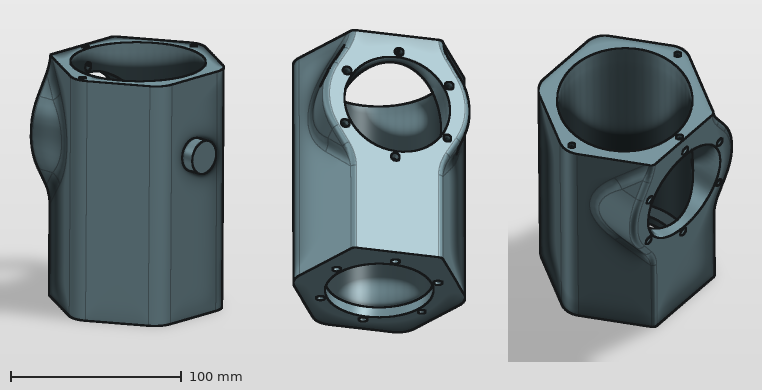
import cadquery as cq
import math

overall_height = 147.4
apothem = 46.3
corner_radius = 13.4
front_edge_radius = 3.5
tilt_angle = 0.5

bore_diameter = 79.3
port_diameter = 63.5
floor_thickness = 6.6

bolt_count = 6
bolt_circle_radius = 35.5
bolt_diameter = 5.2
small_bolt_diameter = 4.5
small_bolt_index = 5
floor_bolt_turn = 2
port_bolt_turn = 28

rim_hole_diameter = 4.0
rim_hole_depth = 11.8
rim_hole_places = [(-43.0, 0), (0, 46.5), (0, -46.5)]

boss_radius = 44.4
boss_height = 28.9
boss_blend_radius = 11.8
boss_flank_angle = 30

overrun = 14.7
rim_overrun = 59
seam_tolerance = 0.01

port_height = 26.5
pin_diameter = 20.0
pin_length = 8.3

tilt = math.radians(tilt_angle)
height = (overall_height - 2 * apothem * math.sin(tilt)) / math.cos(tilt)

side_slope = math.tan(math.radians(30))
circumradius = apothem / math.cos(math.radians(30))
half_side = circumradius / 2
top = height / 2


def hexagonal_prism():
    """Prism stretched past the narrow face and the rim, so the blends run out beyond the final cuts."""
    stretched_face = -apothem - overrun
    stretched_half_side = half_side - overrun * side_slope
    corners = [
        (stretched_face, -stretched_half_side),
        (0, -circumradius),
        (apothem, -half_side),
        (apothem, half_side),
        (0, circumradius),
        (stretched_face, stretched_half_side),
    ]
    prism = cq.Workplane("XY", origin=(0, 0, -top)).polyline(corners).close()
    prism = prism.extrude(height + rim_overrun)
    return prism.edges("|Z").edges("not <X").fillet(corner_radius)


def side_boss():
    """Round boss with straight flanks tangent to it, meeting above and below in a point."""
    flank = math.radians(boss_flank_angle)
    arc_y = boss_radius * math.cos(flank)
    arc_z = boss_radius * math.sin(flank)
    tip_z = boss_radius / math.sin(flank)
    return (
        cq.Workplane("YZ", origin=(-apothem - overrun, 0, boss_height))
        .moveTo(0, tip_z)
        .lineTo(arc_y, arc_z)
        .threePointArc((boss_radius, 0), (arc_y, -arc_z))
        .lineTo(0, -tip_z)
        .lineTo(-arc_y, -arc_z)
        .threePointArc((-boss_radius, 0), (-arc_y, arc_z))
        .close()
        .extrude(apothem + overrun)
    )


def blended_housing():
    joined = hexagonal_prism().union(side_boss())
    seams = []
    for edge in joined.edges("not |Z").vals():
        points = [edge.startPoint(), edge.endPoint(), edge.positionAt(0.5)]
        gaps = [circumradius + p.x * side_slope - abs(p.y) for p in points]
        inside = [-top < p.z < top + rim_overrun for p in points]
        if max(abs(gap) for gap in gaps) < seam_tolerance and any(inside):
            seams.append(edge)
    blended = joined.newObject(seams).fillet(boss_blend_radius)
    envelope = cq.Workplane("XY").box(2 * apothem, 4 * apothem, height)
    trimmed = blended.intersect(envelope)
    outline = trimmed.faces("<X").edges("not(<Z or >Z)")
    return outline.fillet(front_edge_radius)


def bolt_holes(plane, turn, depth):
    """Ring of holes running along the plane's normal, one of them smaller."""
    places = cq.Workplane(plane)
    holes = cq.Workplane(plane)
    for index in range(bolt_count):
        angle = math.radians(turn + index * 360 / bolt_count)
        diameter = small_bolt_diameter if index == small_bolt_index else bolt_diameter
        place = (bolt_circle_radius * math.cos(angle), bolt_circle_radius * math.sin(angle))
        holes = holes.add(places.moveTo(*place).circle(diameter / 2).extrude(depth))
    return holes.combine()


def cylinder(plane, diameter, length):
    return cq.Workplane(plane).circle(diameter / 2).extrude(length)


floor_plane = cq.Plane((0, 0, -top), (1, 0, 0), (0, 0, 1))
port_plane = cq.Plane((-apothem, 0, port_height), (0, -1, 0), (-1, 0, 0))
bore_plane = cq.Plane((0, 0, -top + floor_thickness), (1, 0, 0), (0, 0, 1))
pin_plane = cq.Plane((apothem, 0, port_height), (0, 1, 0), (1, 0, 0))

housing = blended_housing()
housing = housing.cut(cylinder(bore_plane, bore_diameter, height))
housing = housing.cut(cylinder(floor_plane, port_diameter, height))
housing = housing.cut(cylinder(port_plane, port_diameter, -apothem))
housing = housing.cut(bolt_holes(floor_plane, floor_bolt_turn, floor_thickness))
housing = housing.cut(bolt_holes(port_plane, port_bolt_turn, -apothem))

rim_holes = (
    cq.Workplane("XY", origin=(0, 0, top))
    .pushPoints(rim_hole_places)
    .circle(rim_hole_diameter / 2)
    .extrude(-rim_hole_depth)
)
housing = housing.cut(rim_holes)
housing = housing.union(cylinder(pin_plane, pin_diameter, pin_length))

result = housing.rotate((0, 0, 0), (0, 1, 0), tilt_angle)